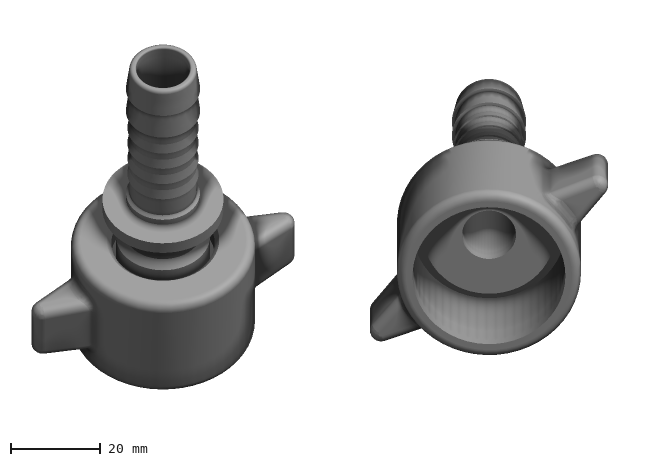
import cadquery as cq
import math

nut_diameter = 41.0
nut_height = 28.05
nut_edge_radius = 2.0
nut_bore_diameter = 34.0
nut_mouth_diameter = 23.0
mouth_chamfer = 1.0
nut_roof = 5.0

wing_span = 65.0
wing_tip_radius = 2.5
wing_side_angle = math.radians(15)
wing_draft = math.radians(2.5)
wing_tip_height = 14.1
wing_edge_radius = 2.0
wing_root_radius = 2.0
clearance = 0.1
wing_root_y = 18.5

total_height = 84.0
bore_diameter = 12.0
stem_diameter = 15.0
tip_round = 0.8
bore_round = 0.4
big_barb_diameter = 16.55
big_barb_tip_diameter = 14.9
big_barb_bottoms = [77.1, 70.05]
small_barb_diameter = 15.9
small_barb_height = 2.5
small_barb_pitch = 4.95
small_barb_count = 4
first_small_barb_bottom = 64.5
collar_diameter = 16.5
collar_top = 44.0
collar_top_chamfer = (collar_diameter - stem_diameter) / 2
collar_bottom_chamfer = 0.5
disc_diameter = 27.0
disc_top = 41.25
disc_bottom = 38.1
neck_diameter = 17.5
neck_bottom = 31.1
shoulder_diameter = 21.0
shoulder_top = neck_bottom - (shoulder_diameter - neck_diameter) / 2
seat_diameter = 29.3
seat_top = nut_height - nut_roof
seat_thickness = 2.5


def cylinder(diameter, bottom, top):
    return cq.Workplane("XY").workplane(offset=bottom).circle(diameter / 2).extrude(top - bottom)


def cone(bottom_diameter, top_diameter, bottom, top):
    """Solid cone frustum on the Z axis."""
    return cq.Workplane(cq.Solid.makeCone(
        bottom_diameter / 2, top_diameter / 2, top - bottom, pnt=cq.Vector(0, 0, bottom)))


def make_wing():
    """Wing on the +Y side: tapered in plan to a round tip, drafted in height, with soft edges."""
    tip_y = wing_span / 2
    tip_centre_y = tip_y - wing_tip_radius
    tangent_x = wing_tip_radius * math.cos(wing_side_angle)
    tangent_y = tip_centre_y + wing_tip_radius * math.sin(wing_side_angle)
    root_x = tangent_x + (tangent_y - wing_root_y) * math.tan(wing_side_angle)
    plan = (
        cq.Workplane("XY")
        .moveTo(-root_x, wing_root_y)
        .lineTo(-tangent_x, tangent_y)
        .threePointArc((0, tip_y), (tangent_x, tangent_y))
        .lineTo(root_x, wing_root_y)
        .close()
        .extrude(nut_height)
    )
    middle_z = nut_height / 2
    tip_half = wing_tip_height / 2
    root_half = tip_half + (tip_y - wing_root_y) * math.tan(wing_draft)
    side = (
        cq.Workplane("YZ")
        .polyline([
            (wing_root_y, middle_z - root_half),
            (tip_y, middle_z - tip_half),
            (tip_y, middle_z + tip_half),
            (wing_root_y, middle_z + root_half),
        ])
        .close()
        .extrude(root_x, both=True)
    )
    wing = plan.intersect(side)
    for low_z, high_z in [(middle_z, nut_height), (0, middle_z)]:
        outline = cq.selectors.BoxSelector(
            (-root_x, wing_root_y + clearance, low_z + clearance),
            (root_x, tip_y, high_z - clearance),
        )
        wing = wing.edges(outline).fillet(wing_edge_radius)
    return wing


def is_wing_seam(edge):
    """True for the edges where a wing meets the barrel, and for no other edge of the nut."""
    centre = edge.Center()
    in_height = nut_edge_radius + clearance < centre.z < nut_height - nut_edge_radius - clearance
    on_wing = abs(centre.y) > wing_root_y
    return in_height and on_wing and math.hypot(centre.x, centre.y) < nut_diameter / 2 + clearance


def make_nut():
    body = cylinder(nut_diameter, 0, nut_height).edges().fillet(nut_edge_radius)
    wing = make_wing()
    body = body.union(wing).union(wing.mirror("XZ"))
    seams = [edge for edge in body.edges().vals() if is_wing_seam(edge)]
    body = body.newObject(seams).fillet(wing_root_radius)
    body = body.cut(cylinder(nut_bore_diameter, 0, seat_top))
    body = body.cut(cylinder(nut_mouth_diameter, 0, nut_height))
    return body.cut(cone(nut_mouth_diameter, nut_mouth_diameter + 2 * mouth_chamfer,
                         nut_height - mouth_chamfer, nut_height))


def make_hose_tail():
    tail = cylinder(stem_diameter, seat_top, big_barb_bottoms[-1])
    upper_ends = [total_height] + big_barb_bottoms
    for top, bottom in zip(upper_ends, big_barb_bottoms):
        tail = tail.union(cone(big_barb_diameter, big_barb_tip_diameter, bottom, top))
    tail = tail.faces(">Z").edges().fillet(tip_round)
    for index in range(small_barb_count):
        bottom = first_small_barb_bottom - index * small_barb_pitch
        tail = tail.union(cone(small_barb_diameter, stem_diameter, bottom, bottom + small_barb_height))
    collar = (
        cylinder(collar_diameter, disc_top, collar_top)
        .faces(">Z").chamfer(collar_top_chamfer)
        .faces("<Z").chamfer(collar_bottom_chamfer)
    )
    tail = tail.union(collar)
    tail = tail.union(cylinder(disc_diameter, disc_bottom, disc_top))
    tail = tail.union(cylinder(neck_diameter, seat_top, disc_bottom))
    tail = tail.union(cone(shoulder_diameter, neck_diameter, shoulder_top, neck_bottom))
    tail = tail.union(cylinder(shoulder_diameter, seat_top, shoulder_top))
    tail = tail.union(cylinder(seat_diameter, seat_top - seat_thickness, seat_top))
    tail = tail.cut(cylinder(bore_diameter, 0, total_height))
    return tail.faces(">Z").edges(cq.selectors.RadiusNthSelector(0)).fillet(bore_round)


nut = make_nut()
hose_tail = make_hose_tail()
result = cq.Compound.makeCompound([nut.val(), hose_tail.val()])